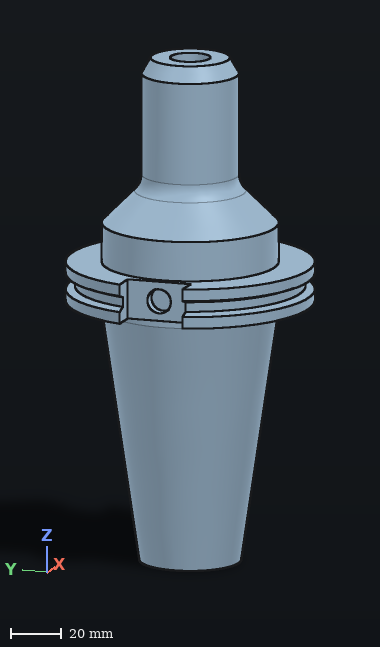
import cadquery as cq
import math

total_height = 203.2
taper_length = 101.5
collar_height = 3.3
flange_thickness = 15.8
body_height = 15.8
tip_chamfer_height = 6.3
flange_bottom = taper_length + collar_height
flange_top = flange_bottom + flange_thickness
flange_middle = (flange_bottom + flange_top) / 2
body_top = flange_top + body_height

body_radius = 35.0
taper_end_radius = body_radius - taper_length * 7 / 48
flange_radius = 49.2
neck_radius = 19.3
tip_radius = neck_radius - tip_chamfer_height * math.tan(math.radians(30))
bore_radius = 8.0

shoulder_fillet = 9.3
shoulder_height = body_radius - neck_radius

groove_floor_radius = 45.5
groove_mouth_width = 6.5
groove_floor_width = 3.9

notch_width = 26.2
left_notch_floor = 37.5
right_notch_floor = 35.2
notch_hole_radius = 4.9
notch_hole_depth = 4.9


def make_holder():
    """Solid of revolution: taper, flange blank, body, shoulder and neck."""
    fillet_tangent = shoulder_fillet * math.tan(math.radians(22.5))
    diagonal = math.sqrt(0.5)
    neck_base = body_top + shoulder_height
    fillet_start = (neck_radius + fillet_tangent * diagonal, neck_base - fillet_tangent * diagonal)
    fillet_end = (neck_radius, neck_base + fillet_tangent)
    fillet_middle = (
        neck_radius + shoulder_fillet * (1 - math.cos(math.radians(22.5))),
        fillet_end[1] - shoulder_fillet * math.sin(math.radians(22.5)),
    )
    return (
        cq.Workplane("XZ")
        .lineTo(taper_end_radius, 0)
        .lineTo(body_radius, taper_length)
        .lineTo(body_radius, flange_bottom)
        .lineTo(flange_radius, flange_bottom)
        .lineTo(flange_radius, flange_top)
        .lineTo(body_radius, flange_top)
        .lineTo(body_radius, body_top)
        .lineTo(*fillet_start)
        .threePointArc(fillet_middle, fillet_end)
        .lineTo(neck_radius, total_height - tip_chamfer_height)
        .lineTo(tip_radius, total_height)
        .lineTo(0, total_height)
        .close()
        .revolve(360, (0, 0, 0), (0, 1, 0))
    )


def make_groove():
    """Ring with sloped flanks around the middle of the flange."""
    half_mouth = groove_mouth_width / 2
    half_floor = groove_floor_width / 2
    return (
        cq.Workplane("XZ")
        .moveTo(flange_radius, flange_middle - half_mouth)
        .lineTo(groove_floor_radius, flange_middle - half_floor)
        .lineTo(groove_floor_radius, flange_middle + half_floor)
        .lineTo(flange_radius, flange_middle + half_mouth)
        .close()
        .revolve(360, (0, 0, 0), (0, 1, 0))
    )


def make_notch(side, floor):
    """Rectangular notch on the given side (-1 or +1) of the flange."""
    depth = flange_radius - floor
    return cq.Workplane("XY").box(depth, notch_width, flange_thickness).translate(
        (side * (floor + depth / 2), 0, flange_middle)
    )


def make_notch_hole():
    """Radial blind hole in the floor of the left notch."""
    return (
        cq.Workplane("YZ", origin=(-left_notch_floor, 0, 0))
        .center(0, flange_middle)
        .circle(notch_hole_radius)
        .extrude(notch_hole_depth)
    )


bore = cq.Workplane("XY").circle(bore_radius).extrude(total_height)

result = (
    make_holder()
    .cut(make_groove())
    .cut(make_notch(-1, left_notch_floor))
    .cut(make_notch(1, right_notch_floor))
    .cut(make_notch_hole())
    .cut(bore)
)